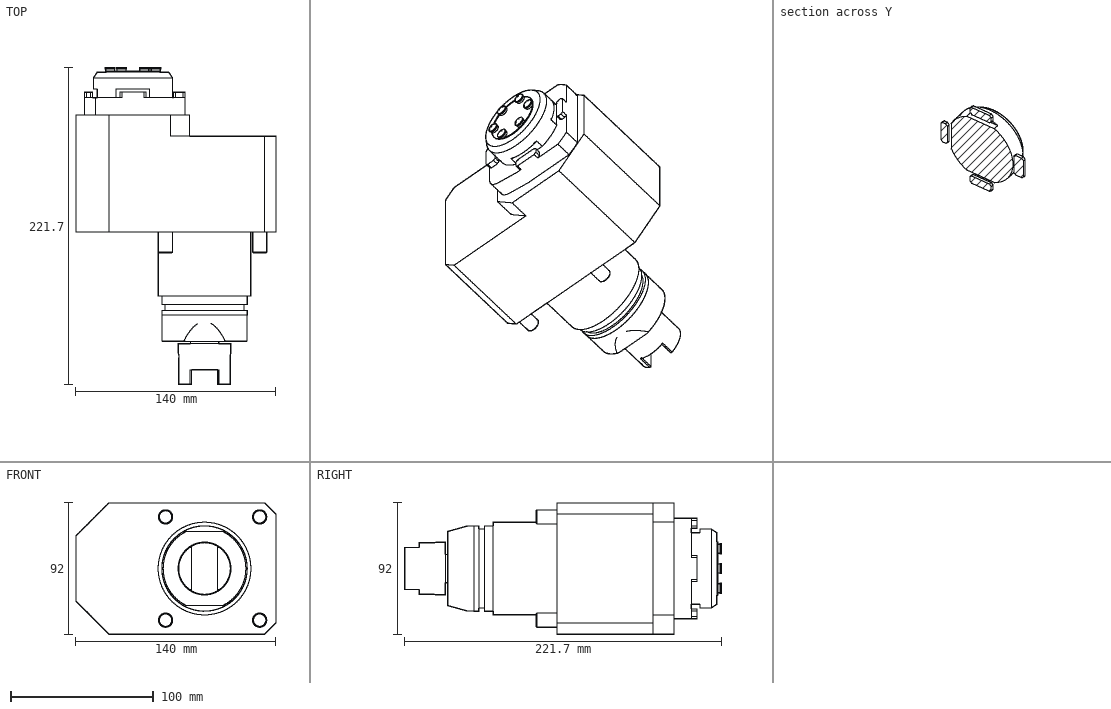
import cadquery as cq
import math


BODY_LEFT = -90.0
BODY_RIGHT = 50.0
BODY_HEIGHT = 92.0
BODY_DEPTH = 82.0
SHOULDER_Y = 67.0
SHOULDER_X = -10.5
LEFT_CHAMFER = 23.0
RIGHT_CHAMFER = 8.0
SHOULDER_CHAMFER = 13.5

SCREW_DIAMETER = 10.0
SCREW_LENGTH = 14.6
SCREW_CHAMFER = 0.7
SCREW_XS = (-27.2, 38.5)
SCREW_Z = 36.0

SHANK_DIAMETER = 65.0
SHANK_END = -44.7
SLEEVE_DIAMETER = 59.8
GROOVE_DIAMETER = 55.4
GROOVE_START = -50.7
GROOVE_END = -54.7
CAP_DIAMETER = 59.5
CAP_START = -58.0
CAP_END = -76.6
CAP_CHAMFER_RADIAL = 0.9
CAP_CHAMFER_AXIAL = 0.55
FLAT_START = -62.7
FLAT_END_Z = 26.0
NECK_DIAMETER = 20.0
COLLAR_DIAMETER = 37.0
COLLAR_START = -78.0
COLLAR_END = -84.4
TANG_DIAMETER = 36.0
TANG_START = -86.2
TANG_END = -106.5
SLOT_WIDTH = 18.2
SLOT_DEPTH = 10.2
TANG_TIP_WIDTH = 21.3
TANG_TIP_Z = 14.8

NUT_X = -50.0
FLANGE_LEFT = 33.9
FLANGE_RIGHT = 36.5
FLANGE_HALF_HEIGHT = 35.2
FLANGE_CORNER_RADIUS = 43.9
FLANGE_THICKNESS = 12.0
SLOPE_START_X = 11.5
SLOPE_DROP = 4.2
FLANGE_ROUND = 9.3
KEY_WIDTH = 18.4
KEY_HEIGHT = 4.0
KEY_INNER_RADIUS = 28.1
KEY_CHAMFER = 1.5
NUT_DIAMETER = 55.4
NUT_LENGTH = 18.0
NUT_CHAMFER_RADIAL = 2.7
NUT_CHAMFER_AXIAL = 4.0
NOTCH_WIDTH = 23.5
NOTCH_HEIGHT = 6.0
NOTCH_RADIUS = 25.0
COVER_DIAMETER = 37.5
COVER_THICKNESS = 0.7
HEAD_DIAMETER = 6.5
HEAD_RIM_DIAMETER = 7.0
HEAD_HEIGHT = 2.5
HEAD_RIM_THICKNESS = 0.9
HEAD_COUNT = 6
HEAD_CIRCLE_RADIUS = 16.0

FLANGE_TOP = BODY_DEPTH + FLANGE_THICKNESS
NUT_TOP = FLANGE_TOP + NUT_LENGTH
COVER_TOP = NUT_TOP + COVER_THICKNESS


def plane_facing_back(x, y):
    """Sketch plane at depth y: local X along +X, local Y along -Z, extruding towards +Y."""
    return cq.Workplane(cq.Plane(origin=(x, y, 0), xDir=(1, 0, 0), normal=(0, 1, 0)))


def revolved_about_y(points):
    """Solid of revolution about the Y axis from (radius, y) points."""
    return cq.Workplane("XY").polyline(points).close().revolve(360, (0, 0), (0, 1))


def chamfered_block(right, depth, right_chamfer):
    """Block from the body's left side to `right`, with its four long edges chamfered."""
    half = BODY_HEIGHT / 2
    outline = [
        (BODY_LEFT, half - LEFT_CHAMFER),
        (BODY_LEFT + LEFT_CHAMFER, half),
        (right - right_chamfer, half),
        (right, half - right_chamfer),
    ]
    mirrored = [(x, -z) for x, z in reversed(outline)]
    return plane_facing_back(0, 0).polyline(outline + mirrored).close().extrude(depth)


def make_body():
    wide = chamfered_block(BODY_RIGHT, SHOULDER_Y, RIGHT_CHAMFER)
    tall = chamfered_block(SHOULDER_X, BODY_DEPTH, SHOULDER_CHAMFER)
    return wide.union(tall)


def make_screws():
    centers = [(x, side * SCREW_Z) for x in SCREW_XS for side in (-1, 1)]
    screws = cq.Workplane("XZ").pushPoints(centers).circle(SCREW_DIAMETER / 2).extrude(SCREW_LENGTH)
    return screws.faces("<Y").chamfer(SCREW_CHAMFER)


def make_shank():
    stretches = [
        (SHANK_DIAMETER, 0, SHANK_END),
        (SLEEVE_DIAMETER, SHANK_END, GROOVE_START),
        (GROOVE_DIAMETER, GROOVE_START, GROOVE_END),
        (SLEEVE_DIAMETER, GROOVE_END, CAP_START),
        (CAP_DIAMETER, CAP_START, CAP_END + CAP_CHAMFER_AXIAL),
        (CAP_DIAMETER - 2 * CAP_CHAMFER_RADIAL, CAP_END, CAP_END),
        (NECK_DIAMETER, CAP_END, COLLAR_START),
        (COLLAR_DIAMETER, COLLAR_START, COLLAR_END),
        (TANG_DIAMETER, TANG_START, TANG_END),
    ]
    profile = [(0, 0)]
    for diameter, start, end in stretches:
        profile.append((diameter / 2, start))
        if end != start:
            profile.append((diameter / 2, end))
    profile.append((0, TANG_END))
    return revolved_about_y(profile)


def make_cap_flats():
    """Wedges that cut two sloping wrench flats, above and below, into the end of the cap."""
    start_z = CAP_DIAMETER / 2
    wedge = (
        cq.Workplane("YZ")
        .polyline([(FLAT_START, start_z), (CAP_END, FLAT_END_Z), (CAP_END, start_z)])
        .close()
        .extrude(CAP_DIAMETER / 2, both=True)
    )
    return wedge.union(wedge.mirror("XY"))


def make_drive_slot():
    """Slot across the tang's end, with the sharp tips of its walls cut flat above and below."""
    tip_height = TANG_DIAMETER / 2 - TANG_TIP_Z
    slot = cq.Workplane("XY").box(SLOT_WIDTH, SLOT_DEPTH, TANG_DIAMETER)
    tip = cq.Workplane("XY").box(TANG_TIP_WIDTH, SLOT_DEPTH, tip_height)
    for side in (-1, 1):
        slot = slot.union(tip.translate((0, 0, side * (TANG_TIP_Z + tip_height / 2))))
    return slot.translate((0, TANG_END + SLOT_DEPTH / 2, 0))


def make_flange():
    """Plate with two left corners rounded about the nut axis and a slightly tapering right end."""
    corner_x = math.sqrt(FLANGE_CORNER_RADIUS**2 - FLANGE_HALF_HEIGHT**2)
    corner_z = math.sqrt(FLANGE_CORNER_RADIUS**2 - FLANGE_LEFT**2)
    diagonal = FLANGE_CORNER_RADIUS / math.sqrt(2)
    right_z = FLANGE_HALF_HEIGHT - SLOPE_DROP
    plate = (
        plane_facing_back(NUT_X, BODY_DEPTH)
        .moveTo(-FLANGE_LEFT, -corner_z)
        .lineTo(-FLANGE_LEFT, corner_z)
        .threePointArc((-diagonal, diagonal), (-corner_x, FLANGE_HALF_HEIGHT))
        .lineTo(SLOPE_START_X, FLANGE_HALF_HEIGHT)
        .lineTo(FLANGE_RIGHT, right_z)
        .lineTo(FLANGE_RIGHT, -right_z)
        .lineTo(SLOPE_START_X, -FLANGE_HALF_HEIGHT)
        .lineTo(-corner_x, -FLANGE_HALF_HEIGHT)
        .threePointArc((-diagonal, -diagonal), (-FLANGE_LEFT, -corner_z))
        .close()
        .extrude(FLANGE_THICKNESS)
    )
    return plate.edges("|Y").edges(">X").fillet(FLANGE_ROUND)


def make_key(outer_radius, angle):
    """Small key on the flange at one side of the nut, its upright edges chamfered."""
    length = outer_radius - KEY_INNER_RADIUS
    return (
        plane_facing_back(0, FLANGE_TOP)
        .center(KEY_INNER_RADIUS + length / 2, 0)
        .rect(length, KEY_WIDTH)
        .extrude(KEY_HEIGHT)
        .edges("|Y")
        .chamfer(KEY_CHAMFER)
        .rotate((0, 0, 0), (0, 1, 0), angle)
        .translate((NUT_X, 0, 0))
    )


def make_keys():
    sides = [
        (FLANGE_RIGHT, 0),
        (FLANGE_HALF_HEIGHT, 90),
        (FLANGE_LEFT, 180),
        (FLANGE_HALF_HEIGHT, 270),
    ]
    keys = cq.Workplane("XY")
    for outer_radius, angle in sides:
        keys = keys.add(make_key(outer_radius, angle))
    return keys.combine()


def screw_head_discs(diameter, start, thickness):
    """Ring of equal discs about the Y axis, one for each screw head."""
    return (
        plane_facing_back(0, start)
        .polarArray(HEAD_CIRCLE_RADIUS, 0, 360, HEAD_COUNT)
        .circle(diameter / 2)
        .extrude(thickness)
    )


def make_nut():
    """Round nut with notches facing all keys but the right one, a thin cover and a ring of screw heads."""
    radius = NUT_DIAMETER / 2
    nut = revolved_about_y([
        (0, FLANGE_TOP),
        (radius, FLANGE_TOP),
        (radius, NUT_TOP - NUT_CHAMFER_AXIAL),
        (radius - NUT_CHAMFER_RADIAL, NUT_TOP),
        (0, NUT_TOP),
    ])
    notch_depth = NUT_DIAMETER / 2 - NOTCH_RADIUS
    notches = (
        plane_facing_back(0, FLANGE_TOP)
        .polarArray(NOTCH_RADIUS + notch_depth / 2, 90, 180, 3)
        .rect(notch_depth, NOTCH_WIDTH)
        .extrude(NOTCH_HEIGHT)
    )
    cover = plane_facing_back(0, NUT_TOP).circle(COVER_DIAMETER / 2).extrude(COVER_THICKNESS)
    nut = nut.cut(notches).union(cover)
    rim_start = COVER_TOP + HEAD_HEIGHT - HEAD_RIM_THICKNESS
    nut = nut.union(screw_head_discs(HEAD_DIAMETER, COVER_TOP, HEAD_HEIGHT))
    nut = nut.union(screw_head_discs(HEAD_RIM_DIAMETER, rim_start, HEAD_RIM_THICKNESS))
    return nut.translate((NUT_X, 0, 0))


shank = make_shank().cut(make_cap_flats()).cut(make_drive_slot())
coupling = make_flange().union(make_keys()).union(make_nut())
result = make_body().union(make_screws()).union(shank).union(coupling)